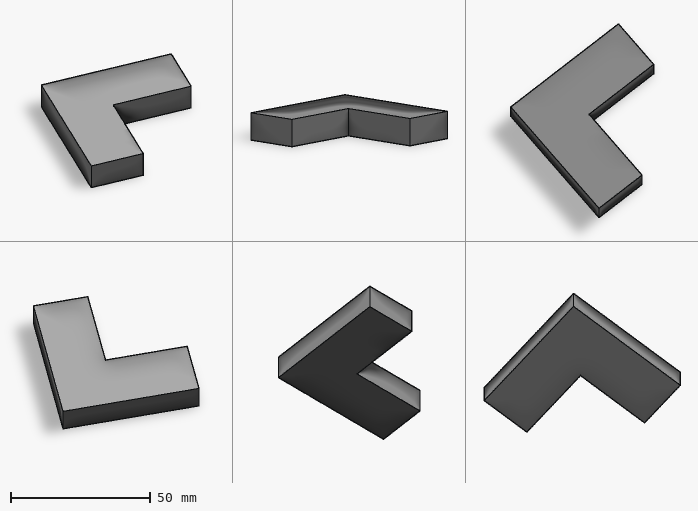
import cadquery as cq

leg_length = 50
leg_width = 20
thickness = 10

outline = [
    (0, 0),
    (leg_length, 0),
    (leg_length, leg_width),
    (leg_width, leg_width),
    (leg_width, leg_length),
    (0, leg_length),
]

result = cq.Workplane("XY").polyline(outline).close().extrude(thickness)